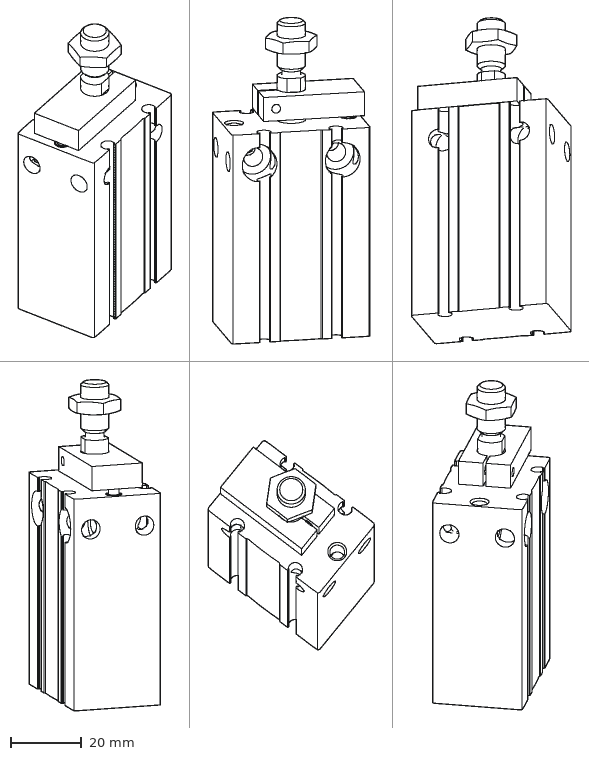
import cadquery as cq
import math

housing_width = 26.0
housing_depth = 40.0
housing_height = 61.0
half_width = housing_width / 2
half_depth = housing_depth / 2

side_curve_radius = 20.0
side_curve_start = 17.5
side_curve_end = 19.6
side_curve_drop = side_curve_radius - math.sqrt(
    side_curve_radius**2 - (side_curve_end - side_curve_start) ** 2
)

corner_radius = 1.0

recess_half_width = 6.1
recess_wall_half_width = 5.85
recess_wall_depth = 0.25
recess_step_half_width = 5.4
recess_crown_radius = 100.0
recess_crown_depth = 0.2
recess_depth = recess_crown_depth + recess_crown_radius - math.sqrt(
    recess_crown_radius**2 - recess_step_half_width**2
)

slot_offset = 10.4
slot_diameter = 4.0
slot_center_inset = 1.6
slot_lip_thickness = 0.6
slot_mouth_width = 2.8
slot_mouth_chamfer = 0.2

mount_hole_diameter = 5.5
mount_hole_height = 52.0
mount_hole_x = 8.0
mount_hole_y = 12.0
counterbore_diameter = 10.0
counterbore_depth = 8.5

port_y = 16.5
port_diameter = 4.13
port_mouth_diameter = 5.33
port_depth = 8.0
drill_point_angle = 118.0

plate_width = 15.0
plate_bottom = 63.0
plate_top = 70.0
plate_front = -19.5
plate_back = 9.6
plate_slit_width = 0.8
clamp_hole_diameter = 2.5
clamp_hole_y = 6.0
clamp_hole_z = (plate_bottom + plate_top) / 2
clamp_hole_depth = 10.0

rod_diameter = 8.0
rod_flat_width = 7.0
rod_bottom = 31.0
rod_flats_top = 74.0
neck_diameter = 5.33
neck_end_diameter = 5.9
stud_shoulder = 76.8
stud_top = 90.0
stud_top_chamfer = 0.75

guide_diameter = 3.0
guide_y = -port_y
guide_bottom = rod_bottom
guide_top = clamp_hole_z

bush_diameter = 3.95
bush_mouth_diameter = 4.55
bush_length = 5.0
bush_bottom = housing_height - bush_length

nut_across_flats = 13.0
nut_bottom = 81.7
nut_thickness = 4.0
nut_face_diameter = 11.7
nut_chamfer_angle = 15.0


def cylinder(diameter, bottom, top, x=0.0, y=0.0):
    """Upright cylinder between two heights."""
    return cq.Workplane("XY", origin=(x, y, bottom)).circle(diameter / 2).extrude(top - bottom)


def side_cutters(solid):
    """The same cutter on the +X side and mirrored to the -X side."""
    return [solid, solid.mirror("YZ")]


def make_housing_block():
    side_curve_mid = (side_curve_start + side_curve_end) / 2
    mid_drop = side_curve_radius - math.sqrt(
        side_curve_radius**2 - (side_curve_mid - side_curve_start) ** 2
    )
    corner_y = half_depth - corner_radius
    corner_end_angle = math.asin((side_curve_end - corner_y) / corner_radius)
    corner_mid_angle = (corner_end_angle + math.pi / 2) / 2
    corner_x = half_width - side_curve_drop - corner_radius * math.cos(corner_end_angle)
    quarter = [
        (half_width, side_curve_start),
        (half_width - mid_drop, side_curve_mid),
        (half_width - side_curve_drop, side_curve_end),
        (
            corner_x + corner_radius * math.cos(corner_mid_angle),
            corner_y + corner_radius * math.sin(corner_mid_angle),
        ),
        (corner_x, half_depth),
    ]
    back_right = quarter
    back_left = [(-x, y) for x, y in quarter[::-1]]
    front_left = [(-x, -y) for x, y in quarter]
    front_right = [(x, -y) for x, y in quarter[::-1]]

    outline = cq.Workplane("XY").moveTo(*front_right[-1])
    for corner in (back_right, back_left, front_left, front_right):
        start, first_mid, joint, last_mid, end = corner
        outline = outline.lineTo(*start).threePointArc(first_mid, joint).threePointArc(last_mid, end)
    outline = outline.close()
    return outline.extrude(housing_height)


def make_side_recess():
    wall_x = half_width - recess_wall_depth
    floor_x = half_width - recess_depth
    return (
        cq.Workplane("XY")
        .moveTo(half_width, -recess_half_width)
        .lineTo(wall_x, -recess_wall_half_width)
        .lineTo(floor_x, -recess_step_half_width)
        .threePointArc((half_width - recess_crown_depth, 0), (floor_x, recess_step_half_width))
        .lineTo(wall_x, recess_wall_half_width)
        .lineTo(half_width, recess_half_width)
        .close()
        .extrude(housing_height)
    )


def make_sensor_slot(y):
    center_x = half_width - slot_center_inset
    round_part = cylinder(slot_diameter, 0, housing_height, center_x, y)
    lip = cq.Workplane("XY", origin=(half_width - slot_lip_thickness, y, 0)).box(
        slot_diameter, slot_diameter, housing_height, centered=(False, True, False)
    )
    mouth_half = slot_mouth_width / 2
    flare_half = mouth_half + slot_mouth_chamfer
    mouth = (
        cq.Workplane("XY", origin=(0, y, 0))
        .polyline([
            (center_x, -mouth_half),
            (half_width - slot_mouth_chamfer, -mouth_half),
            (half_width, -flare_half),
            (half_width, flare_half),
            (half_width - slot_mouth_chamfer, mouth_half),
            (center_x, mouth_half),
        ])
        .close()
        .extrude(housing_height)
    )
    return round_part.cut(lip).union(mouth)


def make_port():
    radius = port_diameter / 2
    mouth_radius = port_mouth_diameter / 2
    mouth_depth = mouth_radius - radius
    point_depth = radius / math.tan(math.radians(drill_point_angle / 2))
    return (
        cq.Workplane("XZ")
        .polyline([
            (0, 0),
            (mouth_radius, 0),
            (radius, -mouth_depth),
            (radius, -port_depth),
            (0, -port_depth - point_depth),
        ])
        .close()
        .revolve(360, (0, 0), (0, 1))
        .translate((0, port_y, housing_height))
    )


def make_bush_mouth():
    """45 degree countersink around the guide rod bush."""
    depth = (bush_mouth_diameter - bush_diameter) / 2
    cone = cq.Solid.makeCone(bush_diameter / 2, bush_mouth_diameter / 2, depth)
    return cone.translate(cq.Vector(0, guide_y, housing_height - depth))


def make_housing():
    housing = make_housing_block()
    for cutter in side_cutters(make_side_recess()):
        housing = housing.cut(cutter)
    for y in (-slot_offset, slot_offset):
        for cutter in side_cutters(make_sensor_slot(y)):
            housing = housing.cut(cutter)

    depth_holes = (
        cq.Workplane("XZ", origin=(0, half_depth, mount_hole_height))
        .pushPoints([(-mount_hole_x, 0), (mount_hole_x, 0)])
        .circle(mount_hole_diameter / 2)
        .extrude(housing_depth)
    )
    cross_plane = cq.Workplane("YZ", origin=(-half_width, 0, mount_hole_height))
    cross_points = cross_plane.pushPoints([(-mount_hole_y, 0), (mount_hole_y, 0)])
    cross_holes = cross_points.circle(mount_hole_diameter / 2).extrude(housing_width)
    counterbores = cross_points.circle(counterbore_diameter / 2).extrude(counterbore_depth)

    housing = housing.cut(depth_holes).cut(cross_holes).cut(counterbores).cut(make_port())
    housing = housing.cut(cylinder(rod_diameter, rod_bottom, housing_height))
    housing = housing.cut(cylinder(guide_diameter, guide_bottom, bush_bottom, y=guide_y))
    housing = housing.cut(cylinder(bush_diameter, bush_bottom, housing_height, y=guide_y))
    return housing.cut(make_bush_mouth())


def make_plate():
    thickness = plate_top - plate_bottom
    plate = (
        cq.Workplane("XY", origin=(0, plate_front, plate_bottom))
        .box(plate_width, plate_back - plate_front, thickness, centered=(True, False, False))
    )
    slit = (
        cq.Workplane("XY", origin=(0, 0, plate_bottom))
        .box(plate_slit_width, plate_back, thickness, centered=(True, False, False))
    )
    clamp_hole = (
        cq.Workplane("YZ", origin=(-plate_width / 2, clamp_hole_y, clamp_hole_z))
        .circle(clamp_hole_diameter / 2)
        .extrude(clamp_hole_depth)
    )
    plate = plate.cut(slit).cut(clamp_hole)
    plate = plate.cut(cylinder(rod_diameter, plate_bottom, plate_top))
    return plate.cut(cylinder(guide_diameter, plate_bottom, guide_top, y=guide_y))


def make_stud():
    """Turned neck with rounded ends, a 45 degree shoulder and a chamfered stud."""
    radius = rod_diameter / 2
    neck_radius = neck_diameter / 2
    neck_end_radius = neck_end_diameter / 2
    round_size = neck_end_radius - neck_radius
    round_mid = round_size * (1 - math.cos(math.radians(45)))
    neck_bottom = rod_flats_top
    neck_top = stud_shoulder - (radius - neck_end_radius)
    return (
        cq.Workplane("XZ")
        .moveTo(0, neck_bottom)
        .lineTo(neck_end_radius, neck_bottom)
        .threePointArc(
            (neck_radius + round_mid, neck_bottom + round_mid),
            (neck_radius, neck_bottom + round_size),
        )
        .lineTo(neck_radius, neck_top - round_size)
        .threePointArc(
            (neck_radius + round_mid, neck_top - round_mid),
            (neck_end_radius, neck_top),
        )
        .lineTo(radius, stud_shoulder)
        .lineTo(radius, stud_top - stud_top_chamfer)
        .lineTo(radius - stud_top_chamfer, stud_top)
        .lineTo(0, stud_top)
        .close()
        .revolve(360, (0, 0), (0, 1))
    )


def make_rod():
    shank = cylinder(rod_diameter, rod_bottom, plate_top)
    flats_blank = (
        cq.Workplane("XY", origin=(0, 0, plate_top))
        .rect(rod_flat_width, rod_diameter)
        .extrude(rod_flats_top - plate_top)
    )
    flats = cylinder(rod_diameter, plate_top, rod_flats_top).intersect(flats_blank)
    return shank.union(flats).union(make_stud())


def make_guide_rod():
    return cylinder(guide_diameter, guide_bottom, guide_top, y=guide_y)


def make_bush():
    bush = cylinder(bush_diameter, bush_bottom, housing_height, y=guide_y)
    return bush.cut(cylinder(guide_diameter, bush_bottom, housing_height, y=guide_y))


def make_nut():
    corner_diameter = nut_across_flats / math.cos(math.radians(30))
    corner_radius = corner_diameter / 2
    face_radius = nut_face_diameter / 2
    chamfer_height = (corner_radius - face_radius) * math.tan(math.radians(nut_chamfer_angle))
    hexagon = (
        cq.Workplane("XY")
        .polygon(6, corner_diameter)
        .extrude(nut_thickness)
        .rotate((0, 0, 0), (0, 0, 1), 30)
    )
    turned_blank = (
        cq.Workplane("XZ")
        .polyline([
            (0, 0),
            (face_radius, 0),
            (corner_radius, chamfer_height),
            (corner_radius, nut_thickness - chamfer_height),
            (face_radius, nut_thickness),
            (0, nut_thickness),
        ])
        .close()
        .revolve(360, (0, 0), (0, 1))
    )
    nut = hexagon.intersect(turned_blank)
    return nut.cut(cylinder(rod_diameter, 0, nut_thickness)).translate((0, 0, nut_bottom))


housing = make_housing()
plate = make_plate()
rod = make_rod()
guide_rod = make_guide_rod()
bush = make_bush()
nut = make_nut()

result = cq.Compound.makeCompound([
    housing.val(),
    plate.val(),
    rod.val(),
    guide_rod.val(),
    bush.val(),
    nut.val(),
])